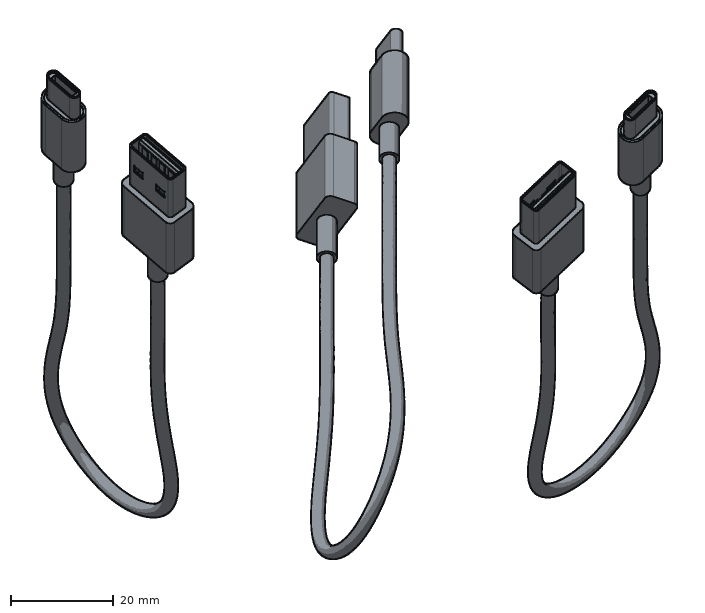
import cadquery as cq

overall_height = 120.7
plug_spacing = 27.0
plug_c_x = -plug_spacing / 2
plug_a_x = plug_spacing / 2

housing_length = 16.0
relief_diameter = 4.0
cable_diameter = 2.8

a_shell_width = 12.1
a_shell_depth = 4.6
a_shell_length = 12.1
a_shell_corner = 0.7
a_wall = 0.4
a_housing_width = 14.5
a_housing_depth = 7.0
a_housing_corner = 1.2
a_relief_length = 9.4
a_housing_top = overall_height - a_shell_length
a_housing_bottom = a_housing_top - housing_length
a_relief_bottom = a_housing_bottom - a_relief_length

window_width = 2.5
window_height = 1.8
window_spacing = 6.3
window_drop = 6.0

tongue_thickness = 1.7
tongue_recess = 0.5
tongue_back_bevel = 0.6
tongue_front_bevel = 0.4
contact_width = 1.5
contact_thickness = 0.2
contact_recess = 0.7
outer_contact_x = 3.7
inner_contact_x = 1.2
tongue_back_y = a_shell_depth / 2 - a_wall
tongue_front_y = tongue_back_y - tongue_thickness
tongue_top = overall_height - tongue_recess
contact_top = tongue_top - contact_recess

c_top = 118.2
c_shell_width = 8.5
c_shell_depth = 2.5
c_shell_length = 6.4
c_shell_rim = 0.3
c_shell_recess = 0.5
c_slot_width = 6.0
c_slot_depth = 1.2
c_housing_width = 10.1
c_housing_depth = 5.5
c_housing_rim = 0.5
c_housing_recess = 0.4
c_relief_length = 7.8
c_housing_top = c_top - c_shell_length
c_housing_bottom = c_housing_top - housing_length
c_relief_bottom = c_housing_bottom - c_relief_length

loop_top = 62.8
loop_points = [
    (-14.5, 40.8),
    (-16.4, 29.2),
    (-17.1, 22.0),
    (-15.5, 11.7),
    (-11.1, 5.9),
    (0.4, cable_diameter / 2),
    (11.8, 5.9),
    (16.0, 11.7),
    (17.3, 22.0),
    (16.0, 29.2),
    (14.1, 40.8),
]


def sketch_plane(x, z):
    """Horizontal work plane on a plug axis."""
    return cq.Workplane("XY", origin=(x, 0, z))


def rounded_bar(x, bottom, width, depth, corner, length):
    """Upright rectangular bar with rounded vertical edges."""
    return sketch_plane(x, bottom).rect(width, depth).extrude(length).edges("|Z").fillet(corner)


def stadium_bar(x, bottom, width, depth, length):
    """Upright bar with fully rounded ends."""
    return sketch_plane(x, bottom).slot2D(width, depth).extrude(length)


def strain_relief(x, bottom, length):
    """Round sleeve below a housing, in one piece with it."""
    return sketch_plane(x, bottom).circle(relief_diameter / 2).extrude(length)


def make_a_housing():
    """Plastic grip of the USB-A plug with its strain relief."""
    block = rounded_bar(
        plug_a_x, a_housing_bottom, a_housing_width, a_housing_depth, a_housing_corner, housing_length
    )
    return block.union(strain_relief(plug_a_x, a_relief_bottom, a_relief_length))


def a_cavity():
    """Space inside the USB-A shell."""
    return rounded_bar(
        plug_a_x,
        a_housing_top,
        a_shell_width - 2 * a_wall,
        a_shell_depth - 2 * a_wall,
        a_shell_corner - a_wall,
        a_shell_length,
    )


def make_a_shell():
    """Metal tube of the USB-A plug with two windows in its front wall."""
    shell = rounded_bar(
        plug_a_x, a_housing_top, a_shell_width, a_shell_depth, a_shell_corner, a_shell_length
    )
    windows = (
        cq.Workplane("XZ", origin=(plug_a_x, 0, overall_height - window_drop))
        .rarray(window_spacing, 1.2, 2, 1)
        .rect(window_width, window_height)
        .extrude(a_shell_depth)
    )
    return shell.cut(a_cavity()).cut(windows)


def make_tongue():
    """Plate against the back wall of the cavity, with a bevelled tip."""
    tongue = (
        cq.Workplane("YZ", origin=(plug_a_x, 0, 0))
        .moveTo(tongue_back_y, a_housing_top)
        .lineTo(tongue_back_y, tongue_top - tongue_back_bevel)
        .lineTo(tongue_back_y - tongue_back_bevel, tongue_top)
        .lineTo(tongue_front_y + tongue_front_bevel, tongue_top)
        .lineTo(tongue_front_y, contact_top)
        .lineTo(tongue_front_y, a_housing_top)
        .close()
        .extrude(a_shell_width / 2, both=True)
    )
    return tongue.intersect(a_cavity())


def make_contact(offset):
    """Flat strip lying on the front face of the tongue."""
    return (
        sketch_plane(plug_a_x + offset, a_housing_top)
        .center(0, tongue_front_y - contact_thickness / 2)
        .rect(contact_width, contact_thickness)
        .extrude(contact_top - a_housing_top)
    )


def make_c_housing():
    """Plastic grip of the USB-C plug: a rim around its top face, and its strain relief below."""
    block = stadium_bar(plug_c_x, c_housing_bottom, c_housing_width, c_housing_depth, housing_length)
    recess = stadium_bar(
        plug_c_x,
        c_housing_top - c_housing_recess,
        c_housing_width - 2 * c_housing_rim,
        c_housing_depth - 2 * c_housing_rim,
        c_housing_recess,
    )
    block = block.cut(recess)
    return block.union(strain_relief(plug_c_x, c_relief_bottom, c_relief_length))


def make_c_shell():
    """Metal tip standing in the housing recess, with a recessed end face and a slot."""
    bottom = c_housing_top - c_housing_recess
    length = c_top - bottom
    shell = stadium_bar(plug_c_x, bottom, c_shell_width, c_shell_depth, length)
    end_recess = stadium_bar(
        plug_c_x,
        c_top - c_shell_recess,
        c_shell_width - 2 * c_shell_rim,
        c_shell_depth - 2 * c_shell_rim,
        c_shell_recess,
    )
    slot = sketch_plane(plug_c_x, bottom).rect(c_slot_width, c_slot_depth).extrude(length)
    return shell.cut(end_recess).cut(slot)


def make_cable():
    """Round cable hanging in a loop from one strain relief to the other."""
    start = [(plug_c_x, c_relief_bottom), (plug_c_x, loop_top)]
    finish = [(plug_a_x, loop_top), (plug_a_x, a_relief_bottom)]
    centre_line = [*start, *loop_points, *finish]
    path = cq.Workplane("XZ").spline(centre_line, tangents=[(0, -1), (0, 1)])
    return sketch_plane(plug_c_x, c_relief_bottom).circle(cable_diameter / 2).sweep(path)


a_housing = make_a_housing()
a_shell = make_a_shell()
tongue = make_tongue()
contact_offsets = (-outer_contact_x, -inner_contact_x, inner_contact_x, outer_contact_x)
contacts = [make_contact(offset) for offset in contact_offsets]
c_housing = make_c_housing()
c_shell = make_c_shell()
cable = make_cable()

result = cq.Compound.makeCompound(
    [
        a_housing.val(),
        a_shell.val(),
        tongue.val(),
        *[contact.val() for contact in contacts],
        c_housing.val(),
        c_shell.val(),
        cable.val(),
    ]
)